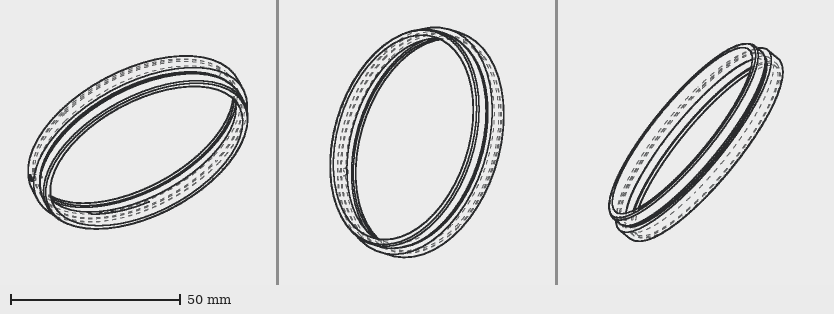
import cadquery as cq

width = 10.0
outer_radius = 34.5
bore_radius = 31.05

flange_width = 5.5
front_fillet = 1.65

spigot_radius = 33.0
relief_radius = 32.6
relief_floor_end = 5.9
relief_ramp_length = 0.7
relief_ramp_end = relief_floor_end + relief_ramp_length
end_chamfer_length = 0.6
end_chamfer_depth = spigot_radius - relief_radius

lip_radius = 32.3
lip_width = 1.05
round_radius = 2.0
inner_groove_radius = bore_radius + round_radius

hole_diameter = 2.0
hole_x = 3.5
cut_clearance = 0.7

inner_groove_end = hole_x


def ring_body():
    """Revolve the wall section; sketch axes are X (along ring) and radius."""
    section = (
        cq.Workplane("XY")
        .moveTo(0, lip_radius)
        .lineTo(0, outer_radius - front_fillet)
        .radiusArc((front_fillet, outer_radius), front_fillet)
        .lineTo(flange_width, outer_radius)
        .lineTo(flange_width, relief_radius)
        .lineTo(relief_floor_end, relief_radius)
        .lineTo(relief_ramp_end, spigot_radius)
        .lineTo(width - end_chamfer_length, spigot_radius)
        .lineTo(width, spigot_radius - end_chamfer_depth)
        .lineTo(width, bore_radius)
        .lineTo(inner_groove_end + round_radius, bore_radius)
        .radiusArc((inner_groove_end, inner_groove_radius), round_radius)
        .lineTo(lip_width, inner_groove_radius)
        .lineTo(lip_width, lip_radius)
        .close()
    )
    return section.revolve(360, (0, 0, 0), (1, 0, 0))


def radial_hole():
    """Cutter running from the ring axis out past the -Y side of the flange."""
    return (
        cq.Workplane("XZ")
        .center(hole_x, 0)
        .circle(hole_diameter / 2)
        .extrude(outer_radius + cut_clearance)
    )


result = ring_body().cut(radial_hole())